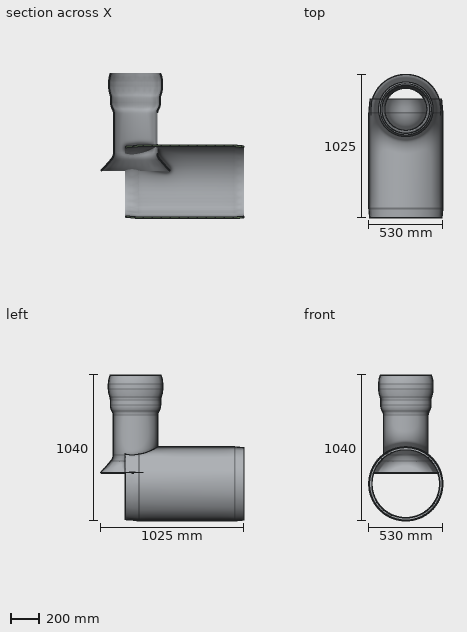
import cadquery as cq
import math

PIPE_RADIUS = 265.0
PIPE_WALL = 15.0
PIPE_LENGTH = 850.0
BACK_END_Y = 75.0
FRONT_END_Y = BACK_END_Y - PIPE_LENGTH
FRONT_TAPER_LENGTH = 70.0
BACK_TAPER_LENGTH = 102.0
BEND_RADIUS = 50.0
FRONT_STRAIGHT_START = FRONT_END_Y + FRONT_TAPER_LENGTH
BACK_STRAIGHT_END = BACK_END_Y - BACK_TAPER_LENGTH
END_TAPER = math.radians(5.5)

RISER_WALL = 10.0
STEM_RADIUS = 160.0
COLLAR_RADIUS = 180.0
BULGE_RADIUS = 195.0
FLARE_RADIUS = 250.0
RISER_TOP_Z = 775.0
RIM_CURVE_HEIGHT = 62.0
BULGE_STRAIGHT = 35.0
COLLAR_STRAIGHT = 39.0
HOLLOW_CURVE = 50.0
COLLAR_CURVE = 80.0
BULGE_CURVE = 160.0
FLARE_BOTTOM_Z = 75.0
FLARE_SLOPE = math.radians(42.0)
FLARE_CURVE = 60.0
FLARE_ZONE_TOP_Z = 130.0


def step_angle(radius_change, curve_sum):
    """Steepest angle of an S-shaped step made of two tangent arcs."""
    return math.acos(1 - radius_change / curve_sum)


def pipe_solid(inset):
    """Turned solid bounded by the pipe's outer surface moved inward by inset."""
    radius = PIPE_RADIUS - inset
    bend = BEND_RADIUS - inset

    bend_run = bend * math.sin(END_TAPER)
    cone_radius = radius - bend * (1 - math.cos(END_TAPER))
    front_cone_y = FRONT_STRAIGHT_START - bend_run
    back_cone_y = BACK_STRAIGHT_END + bend_run
    front_end_radius = cone_radius - (front_cone_y - FRONT_END_Y) * math.tan(END_TAPER)
    back_end_radius = cone_radius - (BACK_END_Y - back_cone_y) * math.tan(END_TAPER)
    return (
        cq.Workplane("XY")
        .moveTo(0, FRONT_END_Y)
        .lineTo(front_end_radius, FRONT_END_Y)
        .lineTo(cone_radius, front_cone_y)
        .tangentArcPoint((radius, FRONT_STRAIGHT_START), relative=False)
        .lineTo(radius, BACK_STRAIGHT_END)
        .tangentArcPoint((cone_radius, back_cone_y), relative=False)
        .lineTo(back_end_radius, BACK_END_Y)
        .lineTo(0, BACK_END_Y)
        .close()
        .revolve(360, (0, 0, 0), (0, 1, 0))
    )


def riser_solid(inset):
    """Turned solid bounded by the riser's outer surface moved inward by inset."""
    stem = STEM_RADIUS - inset
    collar = COLLAR_RADIUS - inset
    bulge = BULGE_RADIUS - inset
    hollow_curve = HOLLOW_CURVE + inset
    flare_curve = FLARE_CURVE + inset
    bulge_curve = BULGE_CURVE - inset

    edge_radius = FLARE_RADIUS - inset * math.cos(FLARE_SLOPE)
    edge_z = FLARE_BOTTOM_Z + (RISER_WALL - inset) * math.sin(FLARE_SLOPE)
    lip_apex_z = edge_z - edge_radius * math.tan(FLARE_SLOPE)
    cone_top_radius = stem + flare_curve * (1 - math.cos(FLARE_SLOPE))
    cone_top_z = edge_z + (edge_radius - cone_top_radius) / math.tan(FLARE_SLOPE)
    stem_bottom_z = cone_top_z + flare_curve * math.sin(FLARE_SLOPE)

    bulge_step_curves = BULGE_CURVE + HOLLOW_CURVE
    bulge_angle = step_angle(BULGE_RADIUS - COLLAR_RADIUS, bulge_step_curves)
    collar_step_curves = COLLAR_CURVE + HOLLOW_CURVE
    collar_angle = step_angle(COLLAR_RADIUS - STEM_RADIUS, collar_step_curves)
    bulge_top_z = RISER_TOP_Z - RIM_CURVE_HEIGHT
    bulge_bottom_z = bulge_top_z - BULGE_STRAIGHT
    collar_top_z = bulge_bottom_z - bulge_step_curves * math.sin(bulge_angle)
    collar_bottom_z = collar_top_z - COLLAR_STRAIGHT
    stem_top_z = collar_bottom_z - collar_step_curves * math.sin(collar_angle)

    def hollow_end(radius, z, angle):
        return (
            radius + hollow_curve * (1 - math.cos(angle)),
            z + hollow_curve * math.sin(angle),
        )

    collar_step = hollow_end(stem, stem_top_z, collar_angle)
    bulge_step = hollow_end(collar, collar_top_z, bulge_angle)
    rim_radius = bulge - bulge_curve + math.sqrt(bulge_curve**2 - RIM_CURVE_HEIGHT**2)
    return (
        cq.Workplane("XZ")
        .moveTo(0, lip_apex_z)
        .lineTo(edge_radius, edge_z)
        .lineTo(cone_top_radius, cone_top_z)
        .tangentArcPoint((stem, stem_bottom_z), relative=False)
        .lineTo(stem, stem_top_z)
        .tangentArcPoint(collar_step, relative=False)
        .tangentArcPoint((collar, collar_bottom_z), relative=False)
        .lineTo(collar, collar_top_z)
        .tangentArcPoint(bulge_step, relative=False)
        .tangentArcPoint((bulge, bulge_bottom_z), relative=False)
        .lineTo(bulge, bulge_top_z)
        .tangentArcPoint((rim_radius, RISER_TOP_Z), relative=False)
        .lineTo(0, RISER_TOP_Z)
        .close()
        .revolve(360, (0, 0, 0), (0, 1, 0))
    )


riser_tube = riser_solid(0).cut(riser_solid(RISER_WALL))
flare_zone = cq.Workplane("XY").box(
    2 * PIPE_RADIUS, 2 * PIPE_RADIUS, FLARE_ZONE_TOP_Z, centered=(True, True, False)
)
main_pipe = pipe_solid(0).cut(pipe_solid(PIPE_WALL)).cut(riser_tube.intersect(flare_zone))
riser = riser_tube.cut(main_pipe)

result = cq.Compound.makeCompound([main_pipe.val(), riser.val()])